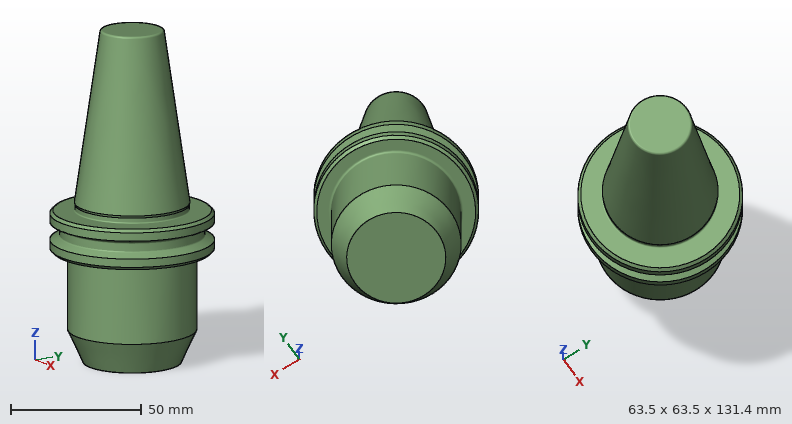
import cadquery as cq

total_height = 131.4
nose_cone_top = 12.9
flange_bottom = 43.9
flange_top = 59.9
neck_top = 62.2
gauge_height = 63.1

nose_diameter = 38.1
body_diameter = 49.9
flange_diameter = 63.5
groove_diameter = 55.8
neck_diameter = 43.9
gauge_diameter = 44.5

flange_chamfer = 1.2
groove_floor_bottom = 50.0
groove_floor_top = 53.7
groove_flank_height = 1.7

body_root_round = 0.9
neck_root_round = 0.5
groove_root_round = 0.5
selection_margin = 0.1

taper_ratio = 7 / 24
end_round = 0.9
small_end_diameter = gauge_diameter - taper_ratio * (total_height - gauge_height)


def cylinder(diameter, bottom, top):
    """Solid cylinder about Z between two heights."""
    return cq.Workplane("XY").workplane(offset=bottom).circle(diameter / 2).extrude(top - bottom)


def revolved(profile):
    """Solid of revolution about Z from (radius, height) points."""
    return cq.Workplane("XZ").polyline(profile).close().revolve(360, (0, 0, 0), (0, 1, 0))


def make_body():
    """Cylindrical body with a conical nose."""
    nose = revolved([
        (0, 0),
        (nose_diameter / 2, 0),
        (body_diameter / 2, nose_cone_top),
        (0, nose_cone_top),
    ])
    barrel = cylinder(body_diameter, nose_cone_top, flange_bottom)
    return nose.union(barrel)


def make_flange():
    """Chamfered flange with a trapezoidal gripper groove."""
    disc = cylinder(flange_diameter, flange_bottom, flange_top)
    disc = disc.faces("<Z or >Z").edges().chamfer(flange_chamfer)
    groove = revolved([
        (groove_diameter / 2, groove_floor_bottom),
        (flange_diameter / 2, groove_floor_bottom - groove_flank_height),
        (flange_diameter / 2, groove_floor_top + groove_flank_height),
        (groove_diameter / 2, groove_floor_top),
    ])
    return disc.cut(groove)


def make_shank():
    """Neck, short gauge band and tapered shank."""
    neck = cylinder(neck_diameter, flange_top, neck_top)
    taper = revolved([
        (0, neck_top),
        (neck_diameter / 2, neck_top),
        (gauge_diameter / 2, gauge_height),
        (small_end_diameter / 2, total_height),
        (0, total_height),
    ])
    taper = taper.faces(">Z").edges().fillet(end_round)
    return neck.union(taper)


def round_corner(part, diameter, height, radius):
    """Round the circular inside corner of the given diameter and height."""
    reach = diameter / 2 + selection_margin
    corner = cq.selectors.BoxSelector(
        (-reach, -reach, height - selection_margin),
        (reach, reach, height + selection_margin),
        boundingbox=True,
    )
    return part.edges(corner).fillet(radius)


result = make_body().union(make_flange()).union(make_shank())
result = round_corner(result, body_diameter, flange_bottom, body_root_round)
result = round_corner(result, neck_diameter, flange_top, neck_root_round)
for floor_end in (groove_floor_bottom, groove_floor_top):
    result = round_corner(result, groove_diameter, floor_end, groove_root_round)